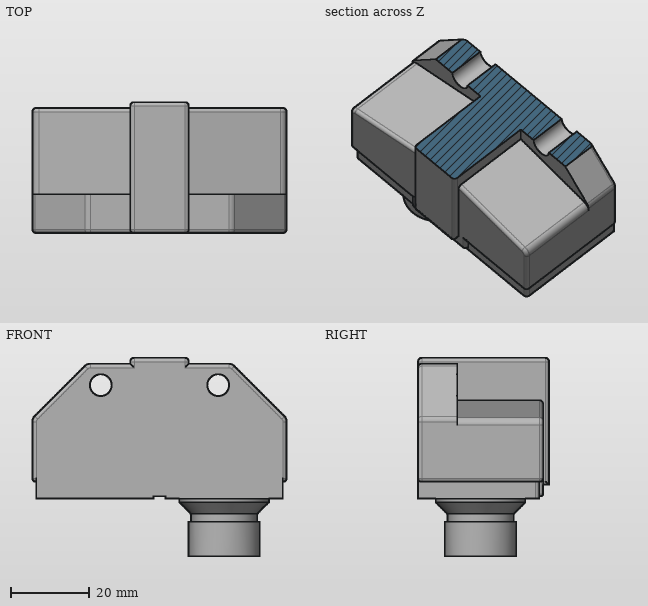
import cadquery as cq
import math

housing_width = 65.0
housing_bottom_z = 4.25
housing_depth = 32.0
front_block_depth = 10.0
shoulder_z = 34.5
corner_z = 20.5
rear_slope_angle = 10.5
corner_radius = 2.0
edge_radius = 1.0

rib_width = 15.0
rib_depth = 33.5
rib_bottom_z = 3.5
rib_top_z = 36.0

base_width = housing_width - 2 * edge_radius
base_depth = housing_depth - edge_radius
base_top_z = housing_bottom_z + 2 * edge_radius

notch_width = 3.0
notch_height = 0.6

tab_width = 20.0
tab_bottom_z = notch_height
tab_lower_edge_radius = 0.6

hole_diameter = 5.5
hole_spacing = 30.0
hole_z = 29.0

connector_x = 16.5
connector_y = 16.0
flange_radius = 11.5
flange_height = 0.9
neck_radius = 8.5
neck_height = 2.0
plug_radius = 9.15
plug_bottom_z = -14.77

half_width = housing_width / 2


def box_between(x_size, y_min, y_max, z_min, z_max):
    """Box centred on X = 0 between the given Y and Z limits."""
    box = cq.Workplane("XY").box(x_size, y_max - y_min, z_max - z_min, centered=(True, False, False))
    return box.translate((0, y_min, z_min))


def rounded_prism(outline, y_min, y_max, outer_face):
    """Extrude an XZ outline along Y, rounding its corners and the rim of its outer face."""
    prism = cq.Workplane("XZ", origin=(0, y_min, 0)).polyline(outline).close().extrude(y_min - y_max)
    prism = prism.edges("|Y and (not <Z)").fillet(corner_radius)
    prism = prism.edges("|Y and <Z").fillet(edge_radius)
    return prism.faces(outer_face).edges().fillet(edge_radius)


def make_front_block():
    """Tall front part whose upper corners are cut off at 45 degrees."""
    shoulder_x = half_width - (shoulder_z - corner_z)
    outline = [
        (-half_width, housing_bottom_z),
        (half_width, housing_bottom_z),
        (half_width, corner_z),
        (shoulder_x, shoulder_z),
        (-shoulder_x, shoulder_z),
        (-half_width, corner_z),
    ]
    return rounded_prism(outline, 0, front_block_depth, "<Y")


def make_rear_block():
    """Low rear part whose top slopes up from both sides to the middle."""
    ridge_z = corner_z + half_width * math.tan(math.radians(rear_slope_angle))
    outline = [
        (-half_width, housing_bottom_z),
        (half_width, housing_bottom_z),
        (half_width, corner_z),
        (0, ridge_z),
        (-half_width, corner_z),
    ]
    return rounded_prism(outline, front_block_depth, housing_depth, ">Y")


def make_rib():
    """Central rib running the full depth, rounded on every edge but the lower front and rear ones."""
    rib = box_between(rib_width, 0, rib_depth, rib_bottom_z, rib_top_z)
    return rib.edges("not(|X and <Z)").fillet(edge_radius)


def make_base():
    """Base block flush with the front face, with a tab at its rear."""
    base = box_between(base_width, 0, base_depth, 0, base_top_z)
    base = base.edges("|Z and >Y").fillet(edge_radius)
    tab = box_between(tab_width, base_depth - edge_radius, housing_depth, tab_bottom_z, base_top_z)
    tab = tab.edges("|Z and >Y").fillet(edge_radius)
    tab = tab.faces("<Z").edges("|X and >Y").fillet(tab_lower_edge_radius)
    return base.union(tab)


def make_connector():
    """Turned connector: flange, 45 degree cone, neck and plug."""
    cone_top_z = -flange_height
    cone_bottom_z = cone_top_z - (flange_radius - neck_radius)
    neck_bottom_z = cone_bottom_z - neck_height
    half_section = [
        (0, 0),
        (flange_radius, 0),
        (flange_radius, cone_top_z),
        (neck_radius, cone_bottom_z),
        (neck_radius, neck_bottom_z),
        (plug_radius, neck_bottom_z),
        (plug_radius, plug_bottom_z),
        (0, plug_bottom_z),
    ]
    section_plane = cq.Plane(origin=(connector_x, connector_y, 0), xDir=(0, -1, 0), normal=(-1, 0, 0))
    return cq.Workplane(section_plane).polyline(half_section).close().revolve(360, (0, 0), (0, 1))


def make_mounting_holes():
    """Cylinders through the front block, one on each side of the rib."""
    hole_places = [(-hole_spacing / 2, hole_z), (hole_spacing / 2, hole_z)]
    return cq.Workplane("XZ").pushPoints(hole_places).circle(hole_diameter / 2).extrude(-front_block_depth)


housing = make_front_block().union(make_rear_block()).union(make_rib())
body = housing.union(make_base()).cut(make_mounting_holes())
body = body.cut(box_between(notch_width, 0, housing_depth, 0, notch_height))
result = body.union(make_connector())